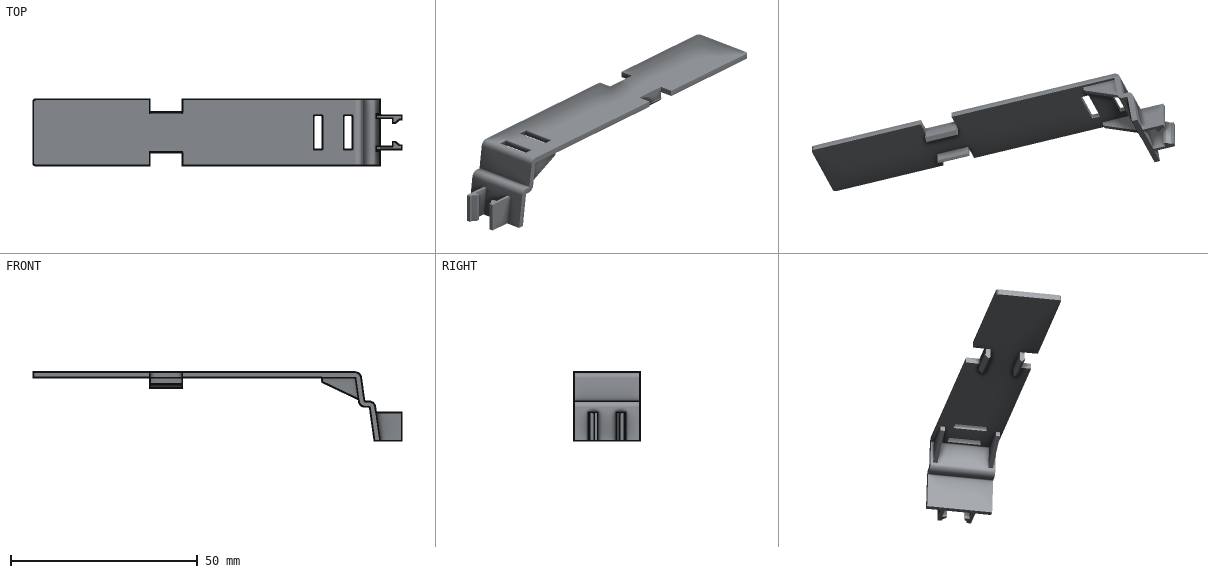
import cadquery as cq
import math


sheet = 1.524
width = 17.78
total_length = 98.78
total_height = 18.44
end_corner_radius = 0.762
leg_angle = 8.0
bend_inner_radius = 0.254
bend_outer_radius = bend_inner_radius + sheet
upper_leg_x = 87.66
leg_offset = 2.68
shelf_z = -7.85

notch_start = 31.25
notch_length = 8.75
neck_half_width = 5.21

slot_centres_x = (76.33, 84.37)
slot_width = 2.286
slot_length = 9.14
slot_corner_radius = 0.254
slot_rim_radius = 0.381

clip_inner_y = 4.0
clip_reach = 0.29
clip_barb_z = -3.15
clip_barb_land = 0.25
clip_bottom_z = -4.3
clip_tip_chamfer = 0.45

gusset_start = 77.25
gusset_end_z = -2.7
gusset_slope = 25.5
gusset_outer_y = width / 2 - end_corner_radius
gusset_thickness = 1.15

hook_top_z = -10.85
hook_outer_y = 4.6
hook_arm_thickness = 0.87
hook_barb_start = 96.25
hook_barb_y = 2.5
hook_barb_land = 0.75
hook_tip_start = 98.1
hook_tip_y = 3.4
hook_root_radius = 0.381

bottom_z = -total_height
lean = math.tan(math.radians(leg_angle))
leg_thickness_x = sheet / math.cos(math.radians(leg_angle))
lower_leg_x = upper_leg_x + leg_offset


def leaning_point(x_at_top, z):
    """Point at height z on a leg face that meets Z = 0 at x_at_top."""
    return (x_at_top - z * lean, z)


def along_y(points, start_y, length):
    """Prism of an XZ outline, running from start_y towards +Y."""
    outline = cq.Workplane("XZ", origin=(0, start_y, 0)).polyline(points).close()
    return outline.extrude(-length)


def bend(strip, corner, radius):
    """Round the edge that runs along Y through an XZ corner."""
    x, z = corner
    edge = cq.selectors.NearestToPointSelector((x, 0, z))
    return strip.edges("|Y").edges(edge).fillet(radius)


def make_strip():
    upper_inner_x = upper_leg_x - leg_thickness_x
    lower_inner_x = lower_leg_x - leg_thickness_x
    top_outer = leaning_point(upper_leg_x, 0)
    top_inner = leaning_point(upper_inner_x, -sheet)
    shelf_inside = leaning_point(upper_leg_x, shelf_z)
    shelf_outside = leaning_point(lower_leg_x, shelf_z)
    shelf_under_outside = leaning_point(upper_inner_x, shelf_z - sheet)
    shelf_under_inside = leaning_point(lower_inner_x, shelf_z - sheet)
    outline = [
        (0, 0),
        top_outer,
        shelf_inside,
        shelf_outside,
        leaning_point(lower_leg_x, bottom_z),
        leaning_point(lower_inner_x, bottom_z),
        shelf_under_inside,
        shelf_under_outside,
        top_inner,
        (0, -sheet),
    ]
    strip = along_y(outline, -width / 2, width)
    for corner in (top_outer, shelf_outside, shelf_under_outside):
        strip = bend(strip, corner, bend_outer_radius)
    for corner in (top_inner, shelf_inside, shelf_under_inside):
        strip = bend(strip, corner, bend_inner_radius)
    strip = strip.edges("|Z and <X").fillet(end_corner_radius)
    notch_depth = width / 2 - neck_half_width
    for side in (-1, 1):
        notch = cq.Workplane("XY").box(notch_length, notch_depth, 2 * sheet)
        notch_x = notch_start + notch_length / 2
        notch_y = side * (neck_half_width + notch_depth / 2)
        strip = strip.cut(notch.translate((notch_x, notch_y, 0)))
    for slot_x in slot_centres_x:
        strip = cut_slot(strip, slot_x)
    return strip


def cut_slot(strip, slot_x):
    """Through slot with rounded corners and a rounded upper rim."""
    cutter = cq.Workplane("XY").box(slot_width, slot_length, 2 * sheet)
    cutter = cutter.edges("|Z").fillet(slot_corner_radius)
    strip = strip.cut(cutter.translate((slot_x, 0, -sheet / 2)))
    reach_x = slot_width / 2 + slot_rim_radius
    reach_y = slot_length / 2 + slot_rim_radius
    rim = cq.selectors.BoxSelector(
        (slot_x - reach_x, -reach_y, -sheet / 2),
        (slot_x + reach_x, reach_y, sheet / 2),
    )
    return strip.edges(rim).fillet(slot_rim_radius)


def make_clip(side):
    """Snap clip below the neck edge, its barb pointing outwards."""
    barb_y = neck_half_width + clip_reach
    taper_top_z = clip_barb_z - clip_barb_land
    taper = taper_top_z - clip_bottom_z
    outline = [
        (clip_inner_y, -sheet),
        (neck_half_width, -sheet),
        (neck_half_width, clip_barb_z),
        (barb_y, clip_barb_z),
        (barb_y, taper_top_z),
        (barb_y - taper, clip_bottom_z),
        (clip_inner_y + clip_tip_chamfer, clip_bottom_z),
        (clip_inner_y, clip_bottom_z + clip_tip_chamfer),
    ]
    points = [(side * y, z) for y, z in outline]
    section = cq.Workplane("YZ", origin=(notch_start, 0, 0)).polyline(points).close()
    return section.extrude(notch_length)


def make_gusset(side, strip):
    """Triangular web under the strip, its short free end parallel to the leg."""
    end_x = gusset_start + (-sheet - gusset_end_z) * lean
    fall = math.tan(math.radians(gusset_slope))
    wall_x = upper_leg_x - leg_thickness_x
    foot_x = (wall_x - lean * (gusset_end_z + fall * end_x)) / (1 - lean * fall)
    foot_z = gusset_end_z - fall * (foot_x - end_x)
    outline = [
        (gusset_start, -sheet),
        (end_x, gusset_end_z),
        (foot_x, foot_z),
        leaning_point(wall_x, -sheet),
    ]
    start_y = gusset_outer_y - gusset_thickness if side > 0 else -gusset_outer_y
    return along_y(outline, start_y, gusset_thickness).cut(strip)


def make_hook(side):
    """Upright plate on the lower leg with an inward barb and a rounded outer root."""
    arm_inner_y = hook_outer_y - hook_arm_thickness
    arm_outline = [
        leaning_point(lower_leg_x, bottom_z),
        leaning_point(lower_leg_x, hook_top_z),
        (total_length, hook_top_z),
        (total_length, bottom_z),
    ]
    hook = along_y(arm_outline, arm_inner_y, hook_arm_thickness)
    hook_height = hook_top_z - bottom_z
    barb_points = [
        (hook_barb_start, hook_outer_y),
        (hook_barb_start, hook_barb_y),
        (hook_barb_start + hook_barb_land, hook_barb_y),
        (hook_tip_start, hook_tip_y),
        (total_length, hook_tip_y),
        (total_length, hook_outer_y),
    ]
    barb = cq.Workplane("XY", origin=(0, 0, bottom_z)).polyline(barb_points).close()
    hook = hook.union(barb.extrude(hook_height)).union(make_hook_root(hook_height))
    if side < 0:
        hook = hook.mirror("XZ")
    return hook


def make_hook_root(height):
    """Concave root fillet that follows the lean of the lower leg."""
    root_x = leaning_point(lower_leg_x, bottom_z)[0]
    middle = hook_root_radius * (1 - math.sqrt(0.5))
    section = (
        cq.Workplane("XY", origin=(0, 0, bottom_z))
        .moveTo(root_x, hook_outer_y)
        .lineTo(root_x + hook_root_radius, hook_outer_y)
        .threePointArc(
            (root_x + middle, hook_outer_y + middle),
            (root_x, hook_outer_y + hook_root_radius),
        )
        .close()
    )
    climb = cq.Vector(-height * lean, 0, height)
    return cq.Workplane(cq.Solid.extrudeLinear(section.val(), [], climb))


strip = make_strip()
clips = [make_clip(side) for side in (-1, 1)]
gussets = [make_gusset(side, strip) for side in (-1, 1)]
hooks = [make_hook(side) for side in (-1, 1)]

bodies = [strip, *clips, *gussets, *hooks]
result = cq.Compound.makeCompound([body.val() for body in bodies])